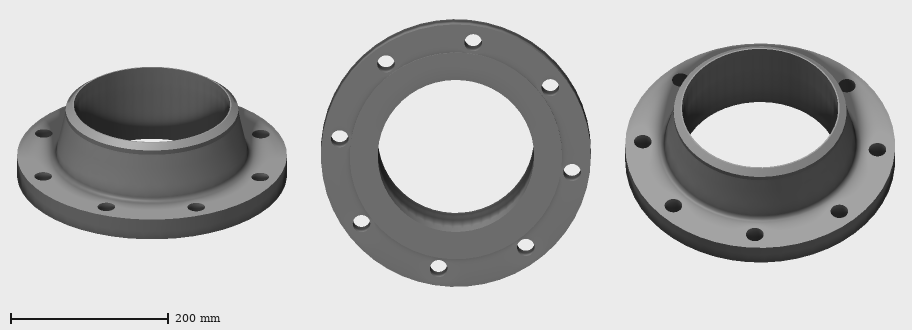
import cadquery as cq
import math

flange_diameter = 342.8
overall_height = 103.2
raised_face_diameter = 269.8
raised_face_height = 1.7
flange_thickness = 28.5

bore_diameter = 198.5
neck_diameter = 219.5
neck_straight_length = 6.0
hub_base_diameter = 246.0
hub_fillet_radius = 6.5
weld_land_width = 1.7
weld_bevel_angle = 37.5

bolt_hole_count = 8
bolt_hole_diameter = 22.3
bolt_circle_diameter = 298.2

bore_radius = bore_diameter / 2
neck_radius = neck_diameter / 2
hub_base_radius = hub_base_diameter / 2
land_radius = bore_radius + weld_land_width
flange_top = raised_face_height + flange_thickness
bevel_height = (neck_radius - land_radius) * math.tan(math.radians(weld_bevel_angle))
bevel_start = overall_height - bevel_height
cone_top = bevel_start - neck_straight_length

cone_angle = math.atan2(hub_base_radius - neck_radius, cone_top - flange_top)
fillet_turn = math.pi / 2 - cone_angle
fillet_tangent = hub_fillet_radius * math.tan(fillet_turn / 2)
fillet_foot_radius = hub_base_radius + fillet_tangent
fillet_head = (
    hub_base_radius - fillet_tangent * math.sin(cone_angle),
    flange_top + fillet_tangent * math.cos(cone_angle),
)
mid_direction = math.pi + fillet_turn / 2 + cone_angle
fillet_middle = (
    fillet_foot_radius + hub_fillet_radius * math.cos(mid_direction),
    flange_top + hub_fillet_radius * (1 + math.sin(mid_direction)),
)


def revolved_body():
    """Raised face, flange plate, hub and weld neck, turned around Z with the bore open."""
    half_section = (
        cq.Workplane("XZ")
        .moveTo(bore_radius, 0)
        .lineTo(raised_face_diameter / 2, 0)
        .lineTo(raised_face_diameter / 2, raised_face_height)
        .lineTo(flange_diameter / 2, raised_face_height)
        .lineTo(flange_diameter / 2, flange_top)
        .lineTo(fillet_foot_radius, flange_top)
        .threePointArc(fillet_middle, fillet_head)
        .lineTo(neck_radius, cone_top)
        .lineTo(neck_radius, bevel_start)
        .lineTo(land_radius, overall_height)
        .lineTo(bore_radius, overall_height)
        .close()
    )
    return half_section.revolve(360, (0, 0, 0), (0, 1, 0))


def bolt_holes():
    """Cylinders through the flange, evenly spaced on the bolt circle, the first on +X."""
    return (
        cq.Workplane("XY")
        .polarArray(bolt_circle_diameter / 2, 0, 360, bolt_hole_count)
        .circle(bolt_hole_diameter / 2)
        .extrude(flange_top)
    )


result = revolved_body().cut(bolt_holes())